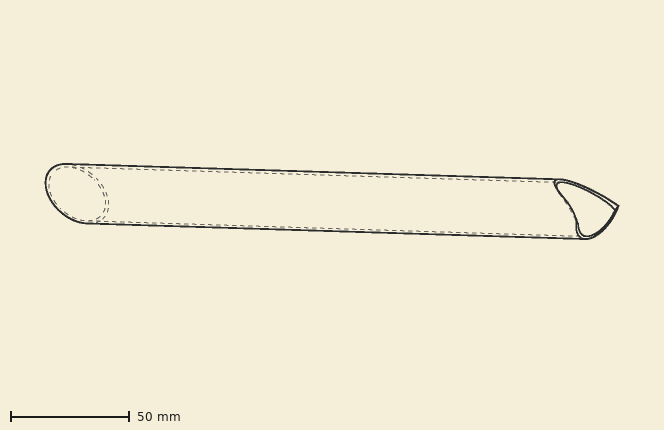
import cadquery as cq

outer_radius = 12.5
wall = 1.2
rise_per_x = 0.356
lean_per_x = 0.143
axis_middle = cq.Vector(0, 0, 1.0)
tube_direction = cq.Vector(1, lean_per_x, rise_per_x).normalized()
stock_length = 582

flat_end_x = -194.5
flat_drop_per_x = 0.64
flat_normal = cq.Vector(-flat_drop_per_x, 0, -1)

saddle_radius = 13.5
saddle_x = 211.0
saddle_shift_y = -0.5
saddle_direction = cq.Vector(1, -0.05, -0.27)
trim_x = 204.0
trim_normal = cq.Vector(1, 0.36, -0.42)
cutter_size = 166.3


def point_on_axis(x):
    """Point of the tube axis at the given X."""
    return axis_middle + cq.Vector(x, lean_per_x * x, rise_per_x * x)


def rod(center, direction, radius, length):
    """Round rod centred on a point and aimed along a direction."""
    start = center - direction.normalized() * (length / 2)
    return cq.Workplane(cq.Solid.makeCylinder(radius, length, start, direction))


def tube_stock():
    """Tube longer than needed, from which both ends are trimmed."""
    bore = rod(axis_middle, tube_direction, outer_radius - wall, stock_length)
    return rod(axis_middle, tube_direction, outer_radius, stock_length).cut(bore)


def block_beyond(point, normal):
    """Block that removes everything past a plane, on the side its normal points to."""
    plane = cq.Plane(point, cq.Vector(0, 1, 0).cross(normal), normal)
    return cq.Workplane(plane).rect(cutter_size, cutter_size).extrude(cutter_size)


def saddle_cutter():
    """Rod that hollows the upper side of the saddle end."""
    center = point_on_axis(saddle_x) + cq.Vector(0, saddle_shift_y, 0)
    return rod(center, saddle_direction, saddle_radius, cutter_size)


result = (
    tube_stock()
    .cut(block_beyond(point_on_axis(flat_end_x), flat_normal))
    .cut(block_beyond(point_on_axis(trim_x), trim_normal))
    .cut(saddle_cutter())
)